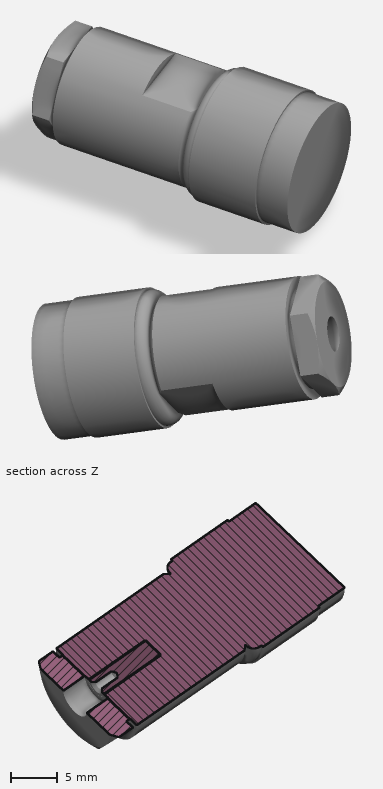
import cadquery as cq
import math


NUT_ACROSS_FLATS = 11.45
NUT_HEAD_LENGTH = 2.55
NUT_NECK_RADIUS = 5.55
NUT_NECK_LENGTH = 0.48
NUT_CHAMFER_ANGLE = 30
CABLE_BORE_RADIUS = 1.9

BARREL_START = NUT_HEAD_LENGTH + NUT_NECK_LENGTH
BARREL_RADIUS = 6.67
BARREL_CHAMFER = 0.5
FLAT_START = 12.38
FLAT_SPACING = 10.92
SLEEVE_START = 18.73
NOSE_ROUND_RADIUS = 1.02
NOSE_LENGTH = 1.25
NOSE_RADIUS = 7.37
RIM_RADIUS = 7.62
RIM_LENGTH = 8.03
CONNECTOR_LENGTH = 31.75

PIN_RADIUS = 1.25
PIN_CLEARANCE = 0.03
PIN_LENGTH = 7.95

SINK_RADIUS = 0.85
SINK_HALF_ANGLE = 45
PILOT_RADIUS = 0.5
PILOT_DEPTH = 2.55
DRILL_POINT_HALF_ANGLE = 60


def cylinder(radius, start, length):
    """Solid cylinder along X from a given station."""
    return cq.Workplane("YZ", origin=(start, 0, 0)).circle(radius).extrude(length)


def revolve_profile(profile):
    """Turn an (x, radius) outline, closed along the axis, about X."""
    return profile.close().revolve(360, (0, 0, 0), (1, 0, 0))


def make_clamp_nut():
    face_radius = NUT_ACROSS_FLATS / 2
    corner_radius = NUT_ACROSS_FLATS / math.sqrt(3)
    chamfer_length = (corner_radius - face_radius) * math.tan(math.radians(NUT_CHAMFER_ANGLE))

    hexagon = cq.Workplane("YZ").polygon(6, 2 * corner_radius).extrude(NUT_HEAD_LENGTH)
    turned_blank = revolve_profile(
        cq.Workplane("XY")
        .moveTo(0, 0)
        .lineTo(0, face_radius)
        .lineTo(chamfer_length, corner_radius)
        .lineTo(NUT_HEAD_LENGTH, corner_radius)
        .lineTo(NUT_HEAD_LENGTH, 0)
    )
    neck = cylinder(NUT_NECK_RADIUS, NUT_HEAD_LENGTH, NUT_NECK_LENGTH)
    cable_bore = cylinder(CABLE_BORE_RADIUS, 0, BARREL_START)
    return hexagon.intersect(turned_blank).union(neck).cut(cable_bore)


def make_barrel():
    length = SLEEVE_START - BARREL_START
    barrel = cylinder(BARREL_RADIUS, BARREL_START, length).faces(">X").chamfer(BARREL_CHAMFER)

    flat_length = SLEEVE_START - FLAT_START
    flat_middle = FLAT_START + flat_length / 2
    cut_depth = BARREL_RADIUS - FLAT_SPACING / 2
    cutter_height = (FLAT_SPACING + cut_depth) / 2
    for side in (1, -1):
        cutter = cq.Workplane("XY").box(flat_length, 2 * BARREL_RADIUS, cut_depth)
        barrel = barrel.cut(cutter.translate((flat_middle, 0, side * cutter_height)))
    return barrel


def make_sleeve():
    round_end = SLEEVE_START + NOSE_ROUND_RADIUS
    round_base = NOSE_RADIUS - NOSE_ROUND_RADIUS
    round_offset = NOSE_ROUND_RADIUS * math.sqrt(0.5)
    rim_start = SLEEVE_START + NOSE_LENGTH
    rim_end = rim_start + RIM_LENGTH
    return revolve_profile(
        cq.Workplane("XY")
        .moveTo(SLEEVE_START, 0)
        .lineTo(SLEEVE_START, round_base)
        .threePointArc((round_end - round_offset, round_base + round_offset), (round_end, NOSE_RADIUS))
        .lineTo(rim_start, NOSE_RADIUS)
        .lineTo(rim_start, RIM_RADIUS)
        .lineTo(rim_end, RIM_RADIUS)
        .lineTo(rim_end, NOSE_RADIUS)
        .lineTo(CONNECTOR_LENGTH, NOSE_RADIUS)
        .lineTo(CONNECTOR_LENGTH, 0)
    )


def make_connector_body():
    pin_hole = cylinder(PIN_RADIUS + PIN_CLEARANCE, BARREL_START, PIN_LENGTH)
    return make_barrel().union(make_sleeve()).cut(pin_hole)


def make_contact_pin():
    sink_end = BARREL_START + (SINK_RADIUS - PILOT_RADIUS) / math.tan(math.radians(SINK_HALF_ANGLE))
    pilot_end = BARREL_START + PILOT_DEPTH
    point_end = pilot_end + PILOT_RADIUS / math.tan(math.radians(DRILL_POINT_HALF_ANGLE))
    solder_hole = revolve_profile(
        cq.Workplane("XY")
        .moveTo(BARREL_START, 0)
        .lineTo(BARREL_START, SINK_RADIUS)
        .lineTo(sink_end, PILOT_RADIUS)
        .lineTo(pilot_end, PILOT_RADIUS)
        .lineTo(point_end, 0)
    )
    return cylinder(PIN_RADIUS, BARREL_START, PIN_LENGTH).cut(solder_hole)


clamp_nut = make_clamp_nut()
connector_body = make_connector_body()
contact_pin = make_contact_pin()
result = cq.Compound.makeCompound([clamp_nut.val(), connector_body.val(), contact_pin.val()])